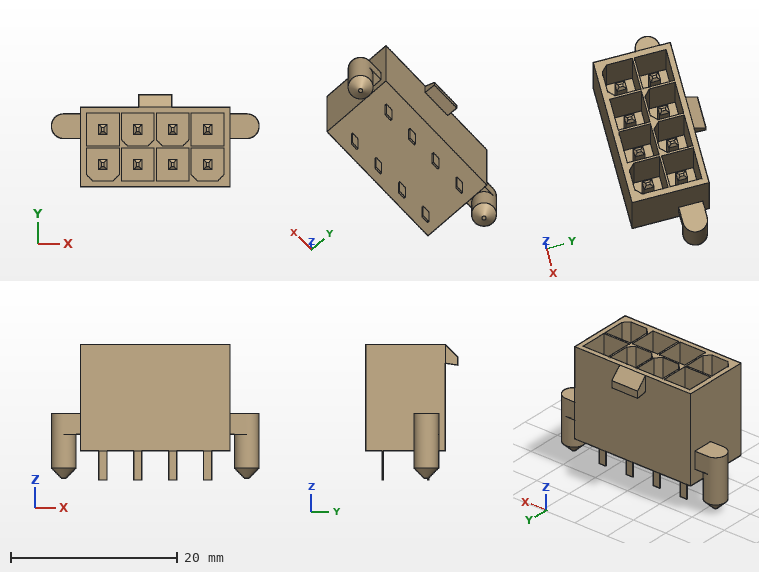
import cadquery as cq

overall_length = 25.0

housing_length = 18.0
housing_width = 9.6
housing_height = 12.8

columns = 4
rows = 2
pitch = 4.2
pocket_size = 3.95
pocket_floor = 3.0
key_chamfer = 0.75

contact_width = 1.0
contact_depth = 1.22
contact_top = 9.0
contact_tip_chamfer = 0.35

tail_thickness = 0.2
tail_length = 3.5
tail_row_spacing = 5.5

peg_diameter = 3.0
peg_x = (overall_length - peg_diameter) / 2
peg_y = 2.5
peg_top = 4.5
peg_bottom = -3.3
peg_tip_chamfer = 1.25
arm_bottom = 2.0

latch_length = 4.0
latch_reach = 1.5
latch_ramp_drop = 1.5
latch_outer_drop = 2.5
latch_root_drop = 2.28


def grid_cells():
    """Yield (column, row, x, y) for every contact position, row 0 on the -Y side."""
    for column in range(columns):
        for row in range(rows):
            x = (column - (columns - 1) / 2) * pitch
            y = (row - (rows - 1) / 2) * pitch
            yield column, row, x, y


def is_keyed(column, row):
    """Outer columns are keyed in the -Y row, inner columns in the +Y row."""
    is_outer_column = column in (0, columns - 1)
    is_minus_y_row = row == 0
    return is_outer_column == is_minus_y_row


def block(length_x, length_y, bottom, top, x=0.0, y=0.0):
    """Box centred on (x, y) that spans bottom to top in Z."""
    return (
        cq.Workplane("XY", origin=(x, y, bottom))
        .rect(length_x, length_y)
        .extrude(top - bottom)
    )


def make_pocket(x, y, keyed):
    """Square contact pocket; keyed ones have both -Y corners cut off."""
    pocket = block(pocket_size, pocket_size, pocket_floor, housing_height, x, y)
    if keyed:
        pocket = pocket.faces("<Y").edges("|Z").chamfer(key_chamfer)
    return pocket


def make_contact(x, y):
    """Contact blade with a tapered tip, rising from the pocket floor."""
    contact = block(contact_width, contact_depth, pocket_floor, contact_top, x, y)
    return contact.faces(">Z").chamfer(contact_tip_chamfer)


def make_tail(x, row):
    """Flat solder tail hanging from the underside of the housing."""
    y = (row - (rows - 1) / 2) * tail_row_spacing
    return block(contact_width, tail_thickness, -tail_length, 0.0, x, y)


def make_peg(side):
    """Locating peg with a conical tip and its arm; side is -1 or 1 along X."""
    peg = (
        cq.Workplane("XY", origin=(side * peg_x, peg_y, peg_bottom))
        .circle(peg_diameter / 2)
        .extrude(peg_top - peg_bottom)
        .faces("<Z")
        .chamfer(peg_tip_chamfer)
    )
    arm_length = peg_x - housing_length / 2
    arm_x = side * (peg_x - arm_length / 2)
    arm = block(arm_length, peg_diameter, arm_bottom, peg_top, arm_x, peg_y)
    return peg.union(arm)


def make_latch():
    """Ramped latch that starts at the top edge of the +Y face."""
    face_y = housing_width / 2
    outer_y = face_y + latch_reach
    return (
        cq.Workplane("YZ")
        .moveTo(face_y, housing_height)
        .lineTo(outer_y, housing_height - latch_ramp_drop)
        .lineTo(outer_y, housing_height - latch_outer_drop)
        .lineTo(face_y, housing_height - latch_root_drop)
        .close()
        .extrude(latch_length / 2, both=True)
    )


result = block(housing_length, housing_width, 0.0, housing_height)

for column, row, x, y in grid_cells():
    result = result.cut(make_pocket(x, y, is_keyed(column, row)))
    result = result.union(make_contact(x, y))
    result = result.union(make_tail(x, row))

for side in (-1, 1):
    result = result.union(make_peg(side))

result = result.union(make_latch())